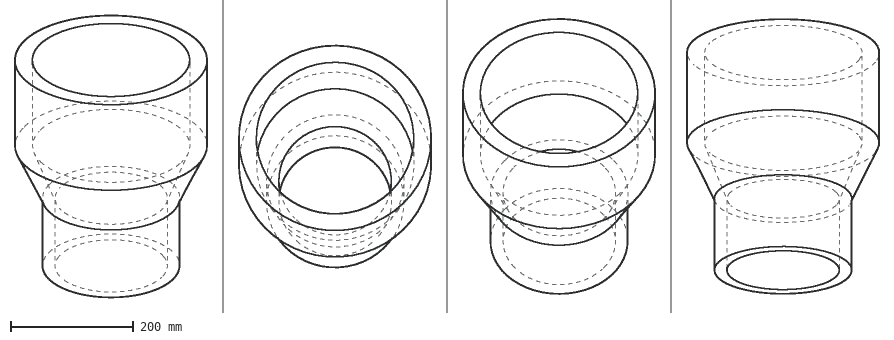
import cadquery as cq

total_height = 380.0
large_outer_diameter = 315.0
small_outer_diameter = 225.0
large_bore_diameter = 257.5
small_bore_diameter = 184.0

small_end_height = 125.0
large_end_height = 222.0


def stepped_body(small_diameter, large_diameter):
    """Solid of revolution: small cylinder, cone, large cylinder."""
    small_radius = small_diameter / 2
    large_radius = large_diameter / 2
    return (
        cq.Workplane("XZ")
        .lineTo(small_radius, 0)
        .lineTo(small_radius, small_end_height)
        .lineTo(large_radius, large_end_height)
        .lineTo(large_radius, total_height)
        .lineTo(0, total_height)
        .close()
        .revolve(360, (0, 0, 0), (0, 1, 0))
    )


outer_body = stepped_body(small_outer_diameter, large_outer_diameter)
bore = stepped_body(small_bore_diameter, large_bore_diameter)

result = outer_body.cut(bore)